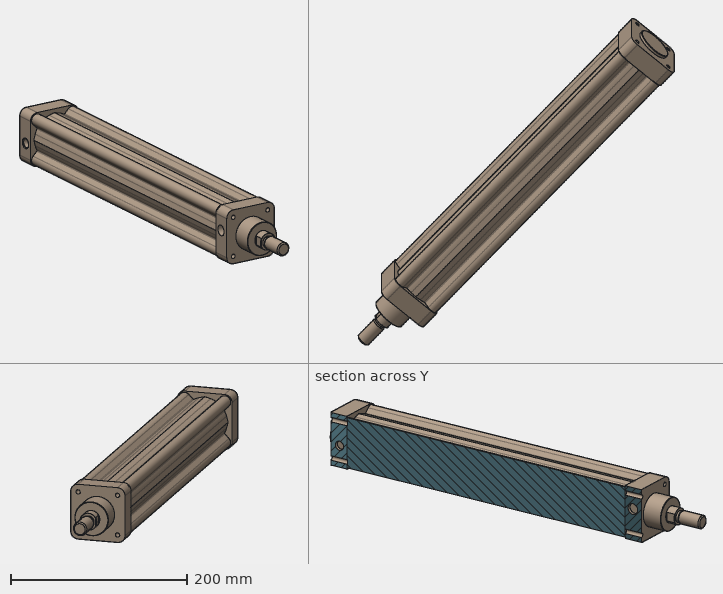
import cadquery as cq
import math


CAP_START = 3.5
COVER_LENGTH = 22.5
HEAD_START = 408.0
COLLAR_END = 454.5
NECK_LENGTH = 12.0
UNDERCUT_LENGTH = 3.0
OVERALL_LENGTH = 499.0

COVER_SIDE = 65.0
COVER_CORNER_RADIUS = 9.0
SPIGOT_RADIUS = 20.0
SPIGOT_CHAMFER = 0.5
SCREW_SPACING = 47.0
SCREW_HOLE_DIAMETER = 5.0

PORT_DIAMETER = 12.5
PORT_DEPTH = 12.5
CAP_PORT_CHAMFER = 1.0
PORT_SHIFT_Z = 6.0
CAP_PORT_X = 15.5
HEAD_PORT_X = 418.5

SIDE_ANGLES = (0, 90, 180, 270)
BARREL_RADIUS = 27.0
CREST_ANGLE = 15.0
CORNER_TUBE_RADIUS = 7.0
CORNER_TUBE_OFFSET = 24.0
ROOT_FILLET = 1.0

ROD_RADIUS = 10.0
FLAT_HALF_WIDTH = 8.5
FLAT_REAR_GAP = 1.0
FLAT_FRONT_GAP = 0.5
UNDERCUT_RADIUS = 7.0
THREAD_RADIUS = 8.0
THREAD_CHAMFER = 1.5

CAP_END = CAP_START + COVER_LENGTH
HEAD_END = HEAD_START + COVER_LENGTH


def section_at(x):
    """Sketch plane across the axis: local x is +Y, local y is +Z, extrusions run along +X."""
    return cq.Workplane("YZ", origin=(x, 0, 0))


def polar(radius, degrees, center=(0, 0)):
    """Section point at an angle measured from +Y towards +Z."""
    angle = math.radians(degrees)
    return (center[0] + radius * math.cos(angle), center[1] + radius * math.sin(angle))


def make_cover(start_x, port_x, port_z, port_diameter):
    """Rounded square plate with four screw holes through it and one air port."""
    plate = (
        section_at(start_x)
        .rect(COVER_SIDE, COVER_SIDE)
        .extrude(COVER_LENGTH)
        .edges("|X")
        .fillet(COVER_CORNER_RADIUS)
    )
    screw_holes = (
        section_at(start_x)
        .rect(SCREW_SPACING, SCREW_SPACING, forConstruction=True)
        .vertices()
        .circle(SCREW_HOLE_DIAMETER / 2)
        .extrude(COVER_LENGTH)
    )
    port = (
        cq.Workplane("XZ", origin=(port_x, -COVER_SIDE / 2, port_z))
        .circle(port_diameter / 2)
        .extrude(-PORT_DEPTH)
    )
    return plate.cut(screw_holes).cut(port)


def make_rear_cap():
    """Rear cover with a shallow centring spigot; the mouth of its port is chamfered."""
    spigot = section_at(0).circle(SPIGOT_RADIUS).extrude(CAP_START)
    spigot = spigot.faces("<X").chamfer(SPIGOT_CHAMFER)
    port_mouth = cq.Solid.makeCone(
        PORT_DIAMETER / 2,
        PORT_DIAMETER / 2 - CAP_PORT_CHAMFER,
        CAP_PORT_CHAMFER,
        cq.Vector(CAP_PORT_X, -COVER_SIDE / 2, -PORT_SHIFT_Z),
        cq.Vector(0, 1, 0),
    )
    cap_bore = PORT_DIAMETER - 2 * CAP_PORT_CHAMFER
    cover = make_cover(CAP_START, CAP_PORT_X, -PORT_SHIFT_Z, cap_bore)
    return cover.cut(cq.Workplane(port_mouth)).union(spigot)


def make_front_head():
    """Front cover with the rod collar on its outer face."""
    collar = section_at(HEAD_END).circle(SPIGOT_RADIUS).extrude(COLLAR_END - HEAD_END)
    collar = collar.faces(">X").chamfer(SPIGOT_CHAMFER)
    return make_cover(HEAD_START, HEAD_PORT_X, PORT_SHIFT_Z, PORT_DIAMETER).union(collar)


def make_barrel():
    """Extruded section: a round core with a low ridge on each side and a round tube at each corner.

    A 45 degree wall, tangent to the corner tube, runs down each side of it to the core.
    """
    ridge_radius = BARREL_RADIUS / math.cos(math.radians(CREST_ANGLE))
    tube_center_radius = CORNER_TUBE_OFFSET * math.sqrt(2)
    wall_angle = math.degrees(math.asin(CORNER_TUBE_RADIUS / BARREL_RADIUS))

    outline = section_at(CAP_END).moveTo(*polar(ridge_radius, 0))
    for side_angle in SIDE_ANGLES:
        diagonal = side_angle + 45
        tube_center = polar(tube_center_radius, diagonal)
        first_wall = diagonal - wall_angle
        second_wall = diagonal + wall_angle
        next_side = side_angle + 90
        first_arc_middle = (side_angle + CREST_ANGLE + first_wall) / 2
        second_arc_middle = (second_wall + next_side - CREST_ANGLE) / 2
        outline = (
            outline.lineTo(*polar(BARREL_RADIUS, side_angle + CREST_ANGLE))
            .threePointArc(polar(BARREL_RADIUS, first_arc_middle), polar(BARREL_RADIUS, first_wall))
            .lineTo(*polar(CORNER_TUBE_RADIUS, diagonal - 90, tube_center))
            .threePointArc(
                polar(CORNER_TUBE_RADIUS, diagonal, tube_center),
                polar(CORNER_TUBE_RADIUS, diagonal + 90, tube_center),
            )
            .lineTo(*polar(BARREL_RADIUS, second_wall))
            .threePointArc(
                polar(BARREL_RADIUS, second_arc_middle),
                polar(BARREL_RADIUS, next_side - CREST_ANGLE),
            )
        )
        if next_side < 360:
            outline = outline.lineTo(*polar(ridge_radius, next_side))
    barrel = outline.close().extrude(HEAD_START - CAP_END)

    for side_angle in SIDE_ANGLES:
        for root_angle in (side_angle + 45 - wall_angle, side_angle + 45 + wall_angle):
            root_point = ((CAP_END + HEAD_START) / 2, *polar(BARREL_RADIUS, root_angle))
            barrel = barrel.edges("|X").edges(cq.selectors.NearestToPointSelector(root_point))
            barrel = barrel.fillet(ROOT_FILLET)
    return barrel


def make_piston_rod():
    """Neck with two spanner flats, an undercut, and a chamfered plain cylinder for the threaded end."""
    neck_end = COLLAR_END + NECK_LENGTH
    thread_start = neck_end + UNDERCUT_LENGTH
    neck = section_at(COLLAR_END).circle(ROD_RADIUS).extrude(NECK_LENGTH)
    undercut = section_at(neck_end).circle(UNDERCUT_RADIUS).extrude(UNDERCUT_LENGTH)
    thread = (
        section_at(thread_start)
        .circle(THREAD_RADIUS)
        .extrude(OVERALL_LENGTH - thread_start)
        .faces("<X or >X")
        .chamfer(THREAD_CHAMFER)
    )

    flat_length = NECK_LENGTH - FLAT_REAR_GAP - FLAT_FRONT_GAP
    flat_center_x = COLLAR_END + FLAT_REAR_GAP + flat_length / 2
    flat_depth = ROD_RADIUS - FLAT_HALF_WIDTH
    for side in (1, -1):
        flat_cut = cq.Workplane("XY").box(flat_length, flat_depth, 2 * ROD_RADIUS).translate(
            (flat_center_x, side * (FLAT_HALF_WIDTH + flat_depth / 2), 0)
        )
        neck = neck.cut(flat_cut)
    return neck.union(undercut).union(thread)


rear_cap = make_rear_cap()
barrel = make_barrel()
front_head = make_front_head()
piston_rod = make_piston_rod()

result = cq.Compound.makeCompound(
    [rear_cap.val(), barrel.val(), front_head.val(), piston_rod.val()]
)